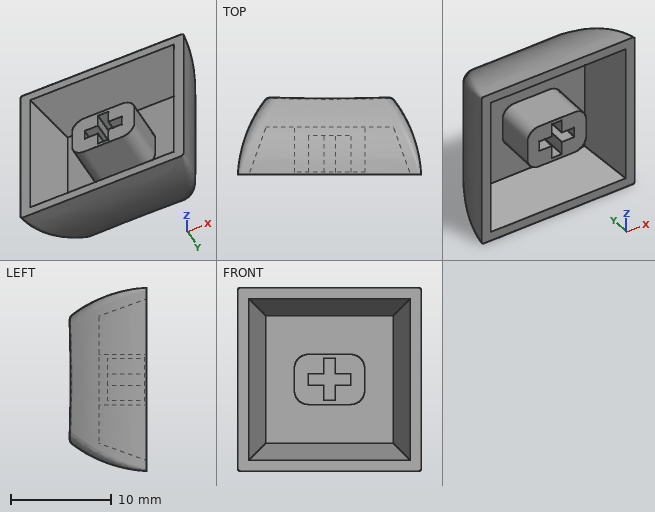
import cadquery as cq

base_width = 18.32
cap_height = 7.7
loft_height = 8.43
blank_thickness = 0.18
shell_sections = [
    (0.0, base_width, 0.3),
    (2.8, 17.4, 0.7),
    (5.24, 15.57, 1.0),
    (loft_height, 11.1, 1.1),
]

dish_radius = 183.2
dish_depth = 0.18
top_fillet = 0.55

cavity_opening = 16.12
cavity_floor = 12.68
cavity_depth = 4.78

stem_width = 7.0
stem_height = 5.0
stem_corner_radius = 1.4
stem_recess = 0.25
cross_span = 4.2
cross_arm = 1.17
cross_depth = 3.66


def plane_at(depth):
    """XZ plane moved to the given +Y depth behind the open face."""
    return cq.Workplane("XZ", origin=(0, depth, 0))


def section_wire(depth, width, radius):
    blank = plane_at(depth).rect(width, width).extrude(-blank_thickness).edges("|Y").fillet(radius)
    return blank.faces("<Y").wires().val()


def make_shell():
    wires = [section_wire(*section) for section in shell_sections]
    shell = cq.Workplane(cq.Solid.makeLoft(wires))
    dish_center = cap_height - dish_depth + dish_radius
    slab_width = 2 * base_width
    cutter = plane_at(cap_height - 2 * dish_depth).rect(slab_width, slab_width).extrude(-base_width)
    sphere = cq.Workplane("XY").sphere(dish_radius).translate((0, dish_center, 0))
    shell = shell.cut(cutter.intersect(sphere))
    return shell.faces(">Y").edges().fillet(top_fillet)


def make_cavity():
    return (
        plane_at(0)
        .rect(cavity_opening, cavity_opening)
        .workplane(offset=-cavity_depth)
        .rect(cavity_floor, cavity_floor)
        .loft(ruled=True)
    )


def make_stem():
    return (
        plane_at(stem_recess)
        .rect(stem_width, stem_height)
        .extrude(-(cavity_depth - stem_recess))
        .edges("|Y")
        .fillet(stem_corner_radius)
    )


def make_socket():
    across = plane_at(stem_recess).rect(cross_span, cross_arm).extrude(-cross_depth)
    upright = plane_at(stem_recess).rect(cross_arm, cross_span).extrude(-cross_depth)
    return across.union(upright)


result = make_shell().cut(make_cavity()).union(make_stem()).cut(make_socket())